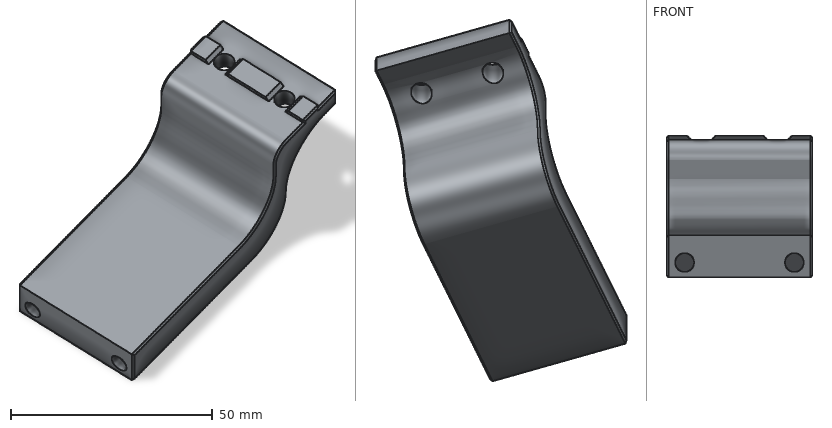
import cadquery as cq
import math

width = 36.2
length = 82.2
slab_thickness = 10.5
plate_top = 34.3
plate_thickness = 5.0
edge_chamfer = 0.5

neck_front_y = length - 25.0
neck_back_y = length - 20.0
crest_radius = 5.0
front_sweep_radius = 14.0
heel_radius = 14.0
back_sweep_radius = 15.0

pad_height = 1.0
pad_length = 6.0
screw_y = length - 10.0
screw_spacing = 19.0
screw_diameter = 5.2

socket_diameter = 4.7
socket_spacing = 27.3
socket_z = 3.7
socket_depth = 9.9

plate_bottom = plate_top - plate_thickness
pad_top = plate_top + pad_height
pad_front_y = screw_y - pad_length / 2
pad_back_y = screw_y + pad_length / 2


def quarter_arc(outline, centre, end, radius, toward_y, toward_z):
    """Add a quarter circle whose middle lies from the centre toward the given signs."""
    reach = radius * math.sqrt(0.5)
    middle = (centre[0] + toward_y * reach, centre[1] + toward_z * reach)
    return outline.threePointArc(middle, end)


def make_body():
    """Side outline, with one full-width pad, extruded across X and chamfered on both sides."""
    sweep_centre = (neck_front_y - front_sweep_radius, slab_thickness + front_sweep_radius)
    crest_centre = (neck_front_y + crest_radius, plate_top - crest_radius)
    back_centre = (neck_back_y + back_sweep_radius, plate_bottom - back_sweep_radius)
    heel_centre = (neck_back_y - heel_radius, heel_radius)

    outline = cq.Workplane("YZ").moveTo(0, 0).lineTo(0, slab_thickness)
    outline = outline.lineTo(sweep_centre[0], slab_thickness)
    outline = quarter_arc(
        outline, sweep_centre, (neck_front_y, sweep_centre[1]), front_sweep_radius, 1, -1
    )
    outline = outline.lineTo(neck_front_y, crest_centre[1])
    outline = quarter_arc(outline, crest_centre, (crest_centre[0], plate_top), crest_radius, -1, 1)
    outline = outline.lineTo(pad_front_y, plate_top).lineTo(pad_front_y, pad_top)
    outline = outline.lineTo(pad_back_y, pad_top).lineTo(pad_back_y, plate_top)
    outline = outline.lineTo(length, plate_top).lineTo(length, plate_bottom)

    outline = outline.lineTo(back_centre[0], plate_bottom)
    outline = quarter_arc(outline, back_centre, (neck_back_y, back_centre[1]), back_sweep_radius, -1, 1)
    outline = outline.lineTo(neck_back_y, heel_centre[1])
    outline = quarter_arc(outline, heel_centre, (heel_centre[0], 0), heel_radius, 1, -1)

    body = outline.close().extrude(width / 2, both=True)
    return body.faces("<X or >X").chamfer(edge_chamfer)


def make_pad_gap(x):
    """Gap with 45-degree walls that splits the pad at a screw hole."""
    base_half = screw_diameter / 2
    top_half = base_half + pad_height
    corners = [(-base_half, plate_top), (base_half, plate_top), (top_half, pad_top), (-top_half, pad_top)]
    return (
        cq.Workplane("XZ", origin=(x, pad_back_y, 0))
        .polyline(corners)
        .close()
        .extrude(pad_length)
    )


def make_screw_hole(x):
    """Vertical hole right through the raised plate and the sweep under it."""
    return cq.Workplane("XY").center(x, screw_y).circle(screw_diameter / 2).extrude(pad_top)


def make_socket(x):
    """Blind hole going back from the front face."""
    return cq.Workplane("XZ").center(x, socket_z).circle(socket_diameter / 2).extrude(-socket_depth)


result = make_body()
for side in (-1, 1):
    screw_x = side * screw_spacing / 2
    result = result.cut(make_pad_gap(screw_x))
    result = result.cut(make_screw_hole(screw_x))
    result = result.cut(make_socket(side * socket_spacing / 2))